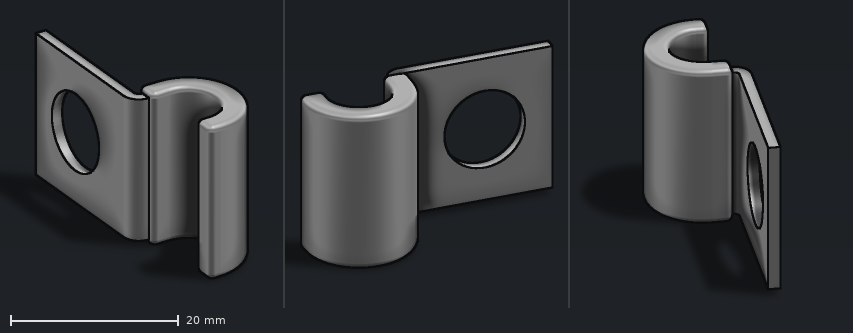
import cadquery as cq

length = 33.25
depth = 11.85
height = 20.65

cushion_outer_radius = 7.08
cushion_wall = 3.12
cushion_rounding = 0.8
left_leg = 2.53
right_leg = 1.55
cushion_inner_radius = cushion_outer_radius - cushion_wall

strap_thickness = 1.5
strap_height = height - 2 * cushion_rounding
bend_inner_radius = 0.7
bend_outer_radius = bend_inner_radius + strap_thickness

hole_diameter = 10.3
hole_from_end = 8.7

plate_left = cushion_outer_radius - length
plate_front = cushion_outer_radius - depth
plate_back = plate_front + strap_thickness
strap_outer_x = -cushion_outer_radius + (cushion_wall - strap_thickness) / 2
strap_inner_x = strap_outer_x + strap_thickness
bend_x = strap_outer_x - bend_inner_radius
bend_y = plate_back + bend_inner_radius
strap_end_y = -left_leg + cushion_rounding


def make_cushion():
    """Half ring with two straight legs of unequal length."""
    outer, inner = cushion_outer_radius, cushion_inner_radius
    hook = (
        cq.Workplane("XY")
        .workplane(offset=-height / 2)
        .moveTo(-outer, -left_leg)
        .lineTo(-outer, 0)
        .threePointArc((0, outer), (outer, 0))
        .lineTo(outer, -right_leg)
        .lineTo(inner, -right_leg)
        .lineTo(inner, 0)
        .threePointArc((0, inner), (-inner, 0))
        .lineTo(-inner, -left_leg)
        .close()
        .extrude(height)
    )
    leg_ends = hook.faces("|Y")
    hook = leg_ends.edges("|Z").fillet(cushion_rounding)
    return hook.faces("|Z").edges().fillet(cushion_rounding)


def make_strap():
    """Flat plate, quarter bend and short tail running into the left leg."""
    return (
        cq.Workplane("XY")
        .workplane(offset=-strap_height / 2)
        .moveTo(plate_left, plate_front)
        .lineTo(bend_x, plate_front)
        .radiusArc((strap_inner_x, bend_y), -bend_outer_radius)
        .lineTo(strap_inner_x, strap_end_y)
        .lineTo(strap_outer_x, strap_end_y)
        .lineTo(strap_outer_x, bend_y)
        .radiusArc((bend_x, plate_back), bend_inner_radius)
        .lineTo(plate_left, plate_back)
        .close()
        .extrude(strap_height)
    )


def make_hole():
    """Cutter through the plate along Y."""
    return (
        cq.Workplane("XZ", origin=(plate_left + hole_from_end, plate_back, 0))
        .circle(hole_diameter / 2)
        .extrude(strap_thickness)
    )


result = make_cushion().union(make_strap()).cut(make_hole())